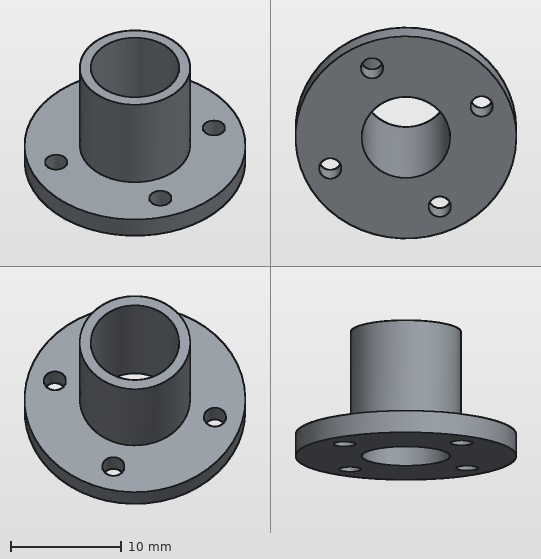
import cadquery as cq

flange_diameter = 20.0
flange_thickness = 2.0

tube_diameter = 10.0
bore_diameter = 8.0
total_height = 11.5

hole_count = 4
hole_diameter = 2.0
bolt_circle_diameter = (flange_diameter + tube_diameter) / 2

flange = cq.Workplane("XY").circle(flange_diameter / 2).extrude(flange_thickness)
tube = cq.Workplane("XY").circle(tube_diameter / 2).extrude(total_height)
bore = cq.Workplane("XY").circle(bore_diameter / 2).extrude(total_height)

mounting_holes = (
    cq.Workplane("XY")
    .polarArray(bolt_circle_diameter / 2, 0, 360, hole_count)
    .circle(hole_diameter / 2)
    .extrude(flange_thickness)
)

result = flange.union(tube).cut(bore).cut(mounting_holes)